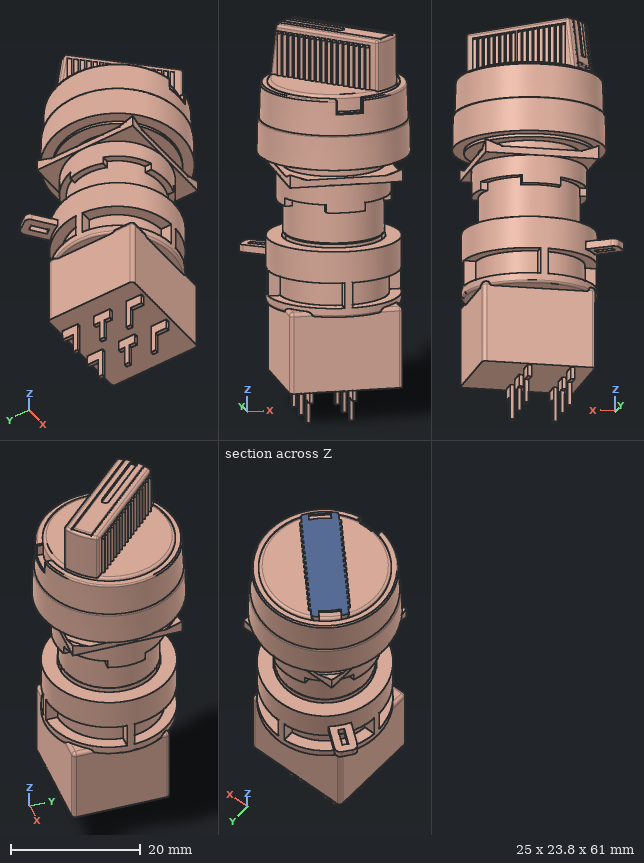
import cadquery as cq
import math

TOP = 61.0
RIB_TOP = 60.0
DISC_TOP = 53.0
BEZEL_TOP = 52.45
NOTCH_FLOOR = 50.4
BEZEL_STEP = 46.85
BEZEL_BOTTOM = 41.4
GASKET_BOTTOM = 40.95
NUT_CORNER_TOP = 40.4
NUT_TOP = 39.4
NUT_PLATE_BOTTOM = 38.3
NUT_SLOT_TOP = 35.15
NUT_BOTTOM = 33.85
BARREL_BOTTOM = 28.5
COLLAR_TOP = 28.05
TAB_TOP = 25.3
TAB_BOTTOM = 24.1
WINDOW_TOP = 23.05
WINDOW_BOTTOM = 19.05
BLOCK_TOP = 18.35
COLLAR_BOTTOM = 17.55
BLOCK_BOTTOM = 5.4
SHOULDER_BOTTOM = 3.6

LOWER_BEZEL_RADIUS = 11.9
LOWER_BEZEL_TOP_RADIUS = 11.8
UPPER_BEZEL_RADIUS = 11.5
UPPER_BEZEL_TOP_RADIUS = 11.35
BEZEL_ROUND = 0.25
NOTCH_WIDTH = 3.9
NOTCH_EDGE = 0.2
GASKET_RADIUS = 10.05
BARREL_RADIUS = 7.85
BARREL_CHAMFER = 0.3
NECK_RADIUS = 7.4

DISC_RADIUS = 10.25
DISC_ROUND = 0.52
LEVER_ANGLE = 135.0
LEVER_WIDTH = 5.85
LEVER_RADIUS = 10.1
LEVER_FRONT_RADIUS = 10.25
LEVER_FRONT_TOP_RADIUS = 9.2
LEVER_ROUND = 0.4
INSERT_WIDTH = 3.4
INSERT_BACK = 9.65
INSERT_BOTTOM = 53.55
INSERT_DEPTH = 1.2
INSERT_ROUND = 0.25
INSERT_BACK_ROUND = 0.5
POINTER_WIDTH = 1.15
POINTER_DEPTH = 0.4
POINTER_BACK = 1.8
POINTER_BOTTOM = 55.1
RIB_COUNT = 17
RIB_PITCH = 1.005
RIB_RADIUS = 0.335

NUT_WIDTH = 17.9
NUT_DISH_RADIUS = 10.85
NUT_LUG_WIDTH = 6.1

COLLAR_RADIUS = 10.5
COLLAR_ROUND = 0.35
CORE_RADIUS = 8.6
COLLAR_BORE_RADIUS = 8.0
POST_WIDTH = 1.2
BLOCK_LENGTH = 17.9
BLOCK_WIDTH = 15.9
BLOCK_OFFSET_Y = -1.005
BLOCK_ROUND = 0.6
TAB_ANGLE = 143.0
TAB_REACH = 15.5
TAB_WIDTH = 3.6
TAB_ROUND = 0.9
TAB_SLOT_WIDTH = 1.0
TAB_SLOT_INNER = 11.3
TAB_SLOT_OUTER = 14.2
TERMINAL_ROWS_X = (-5.4, 1.4)
TERMINAL_THICKNESS = 0.6
LEG_WIDTH = 0.85
OUTER_LEG_OFFSET = 4.95
OUTER_SHOULDER_REACH = 7.4
MIDDLE_SHOULDER_WIDTH = 3.0


def box(x_min, x_max, y_min, y_max, z_min, z_max):
    """Axis-aligned block between the given limits."""
    size = (x_max - x_min, y_max - y_min, z_max - z_min)
    return cq.Workplane("XY").box(*size, centered=False).translate((x_min, y_min, z_min))


def cylinder(radius, z_min, z_max):
    """Upright cylinder on the main axis."""
    return cq.Workplane("XY").workplane(offset=z_min).circle(radius).extrude(z_max - z_min)


def cone(bottom_radius, top_radius, z_min, z_max):
    """Upright truncated cone on the main axis."""
    outline = [(0, z_min), (bottom_radius, z_min), (top_radius, z_max), (0, z_max)]
    return cq.Workplane("XZ").polyline(outline).close().revolve(360, (0, 0), (0, 1))


def make_bezel():
    """Two-step tapered bezel with a notch at -Y that runs in to the knob disc."""
    lower = cone(LOWER_BEZEL_RADIUS, LOWER_BEZEL_TOP_RADIUS, BEZEL_BOTTOM, BEZEL_STEP)
    upper = cone(UPPER_BEZEL_RADIUS, UPPER_BEZEL_TOP_RADIUS, BEZEL_STEP, BEZEL_TOP)
    half = NOTCH_WIDTH / 2
    notch = box(-half, half, -LOWER_BEZEL_RADIUS, 0, NOTCH_FLOOR, TOP)
    upper = upper.faces(">Z").edges().fillet(BEZEL_ROUND)
    upper = upper.cut(notch.cut(cylinder(DISC_RADIUS, BEZEL_STEP, TOP)))
    outer_edges = cq.selectors.BoxSelector(
        (-NOTCH_WIDTH, -UPPER_BEZEL_RADIUS, NOTCH_FLOOR - NOTCH_EDGE),
        (NOTCH_WIDTH, -(DISC_RADIUS + UPPER_BEZEL_TOP_RADIUS) / 2, BEZEL_TOP - BEZEL_ROUND),
    )
    upper = upper.edges(outer_edges).chamfer(NOTCH_EDGE)
    return lower.faces(">Z").edges().fillet(BEZEL_ROUND / 2).union(upper)


def make_barrel():
    """Gasket seat, threaded barrel and the neck that enters the collar down to the switch case."""
    gasket = cylinder(GASKET_RADIUS, GASKET_BOTTOM, BEZEL_BOTTOM)
    barrel = cylinder(BARREL_RADIUS, BARREL_BOTTOM, GASKET_BOTTOM)
    barrel = barrel.faces("<Z").edges().chamfer(BARREL_CHAMFER)
    return gasket.union(barrel).union(cylinder(NECK_RADIUS, BLOCK_TOP, BARREL_BOTTOM))


def lever_end(inset, z_min, z_max):
    """Region inside the lever's ends: a cone toward +X (the pointer) and a cylinder toward -X."""
    slope = (LEVER_FRONT_RADIUS - LEVER_FRONT_TOP_RADIUS) / (TOP - BEZEL_TOP)
    bottom_radius = LEVER_FRONT_RADIUS - inset - slope * (z_min - BEZEL_TOP)
    top_radius = LEVER_FRONT_RADIUS - inset - slope * (z_max - BEZEL_TOP)
    reach = 2 * LEVER_RADIUS
    front = cone(bottom_radius, top_radius, z_min, z_max).intersect(
        box(0, reach, -reach, reach, z_min, z_max))
    back = cylinder(LEVER_RADIUS - inset, z_min, z_max).intersect(
        box(-reach, 0, -reach, reach, z_min, z_max))
    return front, back


def lever_slab(width, inset, back, z_min, z_max):
    """Bar along X of the given width, cut to the lever's ends moved inward by the inset."""
    front, rear = lever_end(inset, z_min, z_max)
    half = width / 2
    bar_front = front.intersect(box(0, LEVER_FRONT_RADIUS, -half, half, z_min, z_max))
    bar_back = rear.intersect(box(-back, 0, -half, half, z_min, z_max))
    return bar_front.union(bar_back)


def make_insert():
    """Strip inlaid in the lever's top and pointer end, its outer edges rounded."""
    strip = lever_slab(INSERT_WIDTH, 0, INSERT_BACK, INSERT_BOTTOM, TOP).clean()
    strip = strip.faces("<X").edges(">Z").fillet(INSERT_BACK_ROUND)
    strip = strip.faces(">X or >Z").edges("not <X").fillet(INSERT_ROUND)
    return strip.cut(make_pointer_slot())


def make_pointer_slot():
    """Shallow slot along the insert's top and down its pointer end."""
    half = POINTER_WIDTH / 2
    reach = 2 * LEVER_RADIUS
    bar = box(-POINTER_BACK + half, reach, -half, half, POINTER_BOTTOM, TOP)
    bar = bar.union(cylinder(half, POINTER_BOTTOM, TOP).translate((half - POINTER_BACK, 0, 0)))
    core = lever_slab(LEVER_WIDTH, POINTER_DEPTH, reach, BEZEL_TOP, TOP - POINTER_DEPTH)
    return bar.cut(core)


def make_ribs():
    """Rows of upright half-round grip ribs on both sides of the lever, their tops sloped outward."""
    first = -RIB_PITCH * (RIB_COUNT - 1) / 2
    side = LEVER_WIDTH / 2
    places = [(first + i * RIB_PITCH, y) for i in range(RIB_COUNT) for y in (-side, side)]
    ribs = (cq.Workplane("XY").workplane(offset=BEZEL_TOP).pushPoints(places)
            .circle(RIB_RADIUS).extrude(RIB_TOP - BEZEL_TOP))
    half = side + RIB_RADIUS
    envelope = box(-LEVER_RADIUS, LEVER_RADIUS, -half, half, BEZEL_TOP, RIB_TOP)
    return ribs.intersect(envelope.edges("|X and >Z").chamfer(RIB_RADIUS))


def make_knob():
    """Round disc with the pointer lever standing on it, turned to its angle."""
    disc = cylinder(DISC_RADIUS, BEZEL_TOP, DISC_TOP).faces(">Z").edges().fillet(DISC_ROUND)
    lever = lever_slab(LEVER_WIDTH, 0, LEVER_RADIUS, BEZEL_TOP, TOP).clean()
    lever = lever.faces("<Y or >Y").edges("not(<Z or >Z)").fillet(LEVER_ROUND)
    lever = lever.faces(">Z").edges().fillet(LEVER_ROUND)
    reach = 2 * LEVER_RADIUS
    half = INSERT_WIDTH / 2
    core = lever_slab(LEVER_WIDTH, INSERT_DEPTH, reach, BEZEL_TOP, TOP - INSERT_DEPTH)
    recess = box(-INSERT_BACK, reach, -half, half, BEZEL_TOP, TOP).cut(core)
    lever = lever.cut(recess).union(make_insert())
    knob = disc.union(lever).union(make_ribs())
    return knob.rotate((0, 0, 0), (0, 0, 1), LEVER_ANGLE)


def make_operator():
    """Bezel, barrel and knob as one body."""
    return make_bezel().union(make_barrel()).union(make_knob())


def make_nut():
    """Square plate with a dished top on a ring that ends in four lugs."""
    half = NUT_WIDTH / 2
    corner_radius = half * math.sqrt(2)
    plate = box(-half, half, -half, half, NUT_PLATE_BOTTOM, NUT_CORNER_TOP)
    plate = plate.cut(cone(NUT_DISH_RADIUS, corner_radius, NUT_TOP, NUT_CORNER_TOP))
    ring = cylinder(half, NUT_BOTTOM, NUT_PLATE_BOTTOM)
    lug = NUT_LUG_WIDTH / 2
    gaps = box(-half, half, -half, half, NUT_BOTTOM, NUT_SLOT_TOP)
    gaps = gaps.cut(box(-half, half, -lug, lug, NUT_BOTTOM, NUT_SLOT_TOP))
    gaps = gaps.cut(box(-lug, lug, -half, half, NUT_BOTTOM, NUT_SLOT_TOP))
    return plate.union(ring.cut(gaps)).cut(cylinder(BARREL_RADIUS, NUT_BOTTOM, NUT_CORNER_TOP))


def make_collar():
    """Bored round collar with four windows between upright posts."""
    collar = cylinder(COLLAR_RADIUS, COLLAR_BOTTOM, COLLAR_TOP).faces("<Z").edges().fillet(COLLAR_ROUND)
    windows = cylinder(COLLAR_RADIUS, WINDOW_BOTTOM, WINDOW_TOP)
    windows = windows.cut(cylinder(CORE_RADIUS, WINDOW_BOTTOM, WINDOW_TOP))
    post = POST_WIDTH / 2
    reach = COLLAR_RADIUS
    windows = windows.cut(box(-reach, reach, -post, post, WINDOW_BOTTOM, WINDOW_TOP))
    windows = windows.cut(box(-post, post, -reach, reach, WINDOW_BOTTOM, WINDOW_TOP))
    return collar.cut(windows).cut(cylinder(COLLAR_BORE_RADIUS, BLOCK_TOP, COLLAR_TOP))


def make_tab():
    """Flat slotted release tab that leaves the collar radially."""
    half = TAB_WIDTH / 2
    tab = box(CORE_RADIUS, TAB_REACH, -half, half, TAB_BOTTOM, TAB_TOP).edges("|Z and >X").fillet(TAB_ROUND)
    slot_half = TAB_SLOT_WIDTH / 2
    slot = box(TAB_SLOT_INNER, TAB_SLOT_OUTER, -slot_half, slot_half, TAB_BOTTOM, TAB_TOP)
    return tab.cut(slot).rotate((0, 0, 0), (0, 0, 1), TAB_ANGLE)


def make_terminals():
    """Two rows of three flat terminals, each a shoulder with a narrow leg."""
    leg = LEG_WIDTH / 2
    outer_inside = OUTER_LEG_OFFSET - leg
    shoulders = [
        (-OUTER_SHOULDER_REACH, -outer_inside),
        (-MIDDLE_SHOULDER_WIDTH / 2, MIDDLE_SHOULDER_WIDTH / 2),
        (outer_inside, OUTER_SHOULDER_REACH),
    ]
    leg_centres = (-OUTER_LEG_OFFSET, 0, OUTER_LEG_OFFSET)
    terminals = cq.Workplane("XY")
    for row_x in TERMINAL_ROWS_X:
        x_min = row_x - TERMINAL_THICKNESS / 2
        x_max = row_x + TERMINAL_THICKNESS / 2
        for (y_min, y_max), centre in zip(shoulders, leg_centres):
            terminals = terminals.union(box(x_min, x_max, y_min, y_max, SHOULDER_BOTTOM, BLOCK_BOTTOM))
            terminals = terminals.union(box(x_min, x_max, centre - leg, centre + leg, 0, BLOCK_BOTTOM))
    return terminals.translate((0, BLOCK_OFFSET_Y, 0))


def make_contact_block():
    """Collar, release tab, switch case and terminals."""
    length = BLOCK_LENGTH / 2
    width = BLOCK_WIDTH / 2
    case = box(-length, length, -width, width, BLOCK_BOTTOM, BLOCK_TOP)
    case = case.edges("|Z or >Z").fillet(BLOCK_ROUND).translate((0, BLOCK_OFFSET_Y, 0))
    return make_collar().union(make_tab()).union(case).union(make_terminals())


operator = make_operator()
nut = make_nut()
contact_block = make_contact_block()
result = cq.Compound.makeCompound([operator.val(), nut.val(), contact_block.val()])